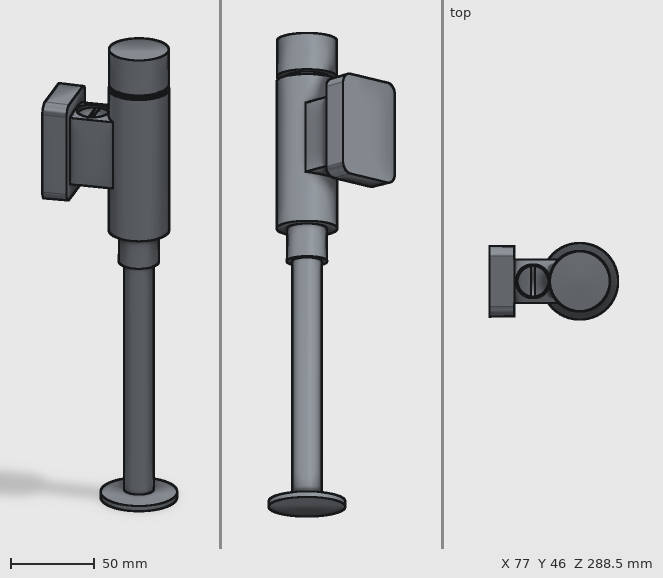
import cadquery as cq
import math

total_height = 288.5
rim_height = 3.5
flange_height = 5.2
sleeve_bottom = 151.8
barrel_bottom = 172.0
barrel_floor = 262.0
barrel_top = 263.0
neck_edge = 264.5
button_bottom = 265.8
button_edge = 288.3

flange_diameter = 46.0
pipe_diameter = 18.0
sleeve_bottom_diameter = 24.2
sleeve_top_diameter = 23.7
barrel_diameter = 36.5
neck_base_diameter = 26.5
neck_diameter = 25.5
barrel_bore = 33.2
button_bottom_diameter = 36.0
button_top_diameter = 35.8

outer_length = 77.0
mount_height = 223.7
plate_width = 42.5
plate_height = 61.8
plate_thickness = 15.0
plate_corner_radius = 6.0
plate_draft = 1.0
arm_width = 26.3
arm_edge_height = 42.7
arm_crown = 1.2

screw_offset = 28.0
recess_diameter = 20.2
screw_diameter = 18.5
recess_depth = 7.2
recess_cutter_height = 14.5
screw_height = 5.2
slot_width = 2.5
slot_cutter_radius = 29.0

plate_face_x = flange_diameter / 2 - outer_length
arm_start_x = plate_face_x + plate_thickness / 2
arm_top = mount_height + arm_edge_height / 2 + arm_crown
recess_floor = arm_top - recess_depth
screw_top = recess_floor + screw_height


def make_turned_column():
    """Flange, pipe, sleeve, barrel, neck and push button, turned about the Z axis."""
    outline = [
        (0, 0),
        (flange_diameter / 2, 0),
        (flange_diameter / 2, rim_height),
        (pipe_diameter / 2, flange_height),
        (pipe_diameter / 2, sleeve_bottom),
        (sleeve_bottom_diameter / 2, sleeve_bottom),
        (sleeve_top_diameter / 2, barrel_bottom),
        (barrel_diameter / 2, barrel_bottom),
        (barrel_diameter / 2, barrel_top),
        (barrel_bore / 2, barrel_top),
        (barrel_bore / 2, barrel_floor),
        (neck_base_diameter / 2, barrel_floor),
        (neck_base_diameter / 2, barrel_top),
        (neck_diameter / 2, neck_edge),
        (neck_diameter / 2, button_bottom),
        (button_bottom_diameter / 2, button_bottom),
        (button_top_diameter / 2, button_edge),
        (0, total_height),
    ]
    return cq.Workplane("XZ").polyline(outline).close().revolve(360, (0, 0), (0, 1))


def make_plate():
    """Rounded plate whose sides draw in slightly from the outer face to the back."""
    return (
        cq.Workplane("YZ", origin=(plate_face_x, 0, mount_height))
        .sketch()
        .rect(plate_width, plate_height)
        .vertices()
        .fillet(plate_corner_radius)
        .finalize()
        .extrude(plate_thickness, taper=plate_draft)
    )


def make_arm():
    """Block from inside the plate to the main axis, crowned across its top and bottom."""
    half_width = arm_width / 2
    half_edge = arm_edge_height / 2
    half_crown = half_edge + arm_crown
    return (
        cq.Workplane("YZ", origin=(arm_start_x, 0, mount_height))
        .moveTo(-half_width, -half_edge)
        .threePointArc((0, -half_crown), (half_width, -half_edge))
        .lineTo(half_width, half_edge)
        .threePointArc((0, half_crown), (-half_width, half_edge))
        .close()
        .extrude(-arm_start_x)
    )


def make_screw_recess():
    """Round cutter for the pocket in the arm, reaching well above the arm's top."""
    return (
        cq.Workplane("XY", origin=(-screw_offset, 0, recess_floor))
        .circle(recess_diameter / 2)
        .extrude(recess_cutter_height)
    )


def make_valve():
    """Valve body with its column, arm, plate and screw recess."""
    recessed_arm = make_arm().cut(make_screw_recess())
    return make_turned_column().union(recessed_arm).union(make_plate())


def make_screw():
    """Flat screw with a slot along Y whose floor is the arc of a round cutter."""
    screw_radius = screw_diameter / 2
    cutter_rise = math.sqrt(slot_cutter_radius**2 - screw_radius**2)
    blank = (
        cq.Workplane("XY", origin=(-screw_offset, 0, recess_floor))
        .circle(screw_radius)
        .extrude(screw_height)
    )
    cutter = (
        cq.Workplane("YZ", origin=(-screw_offset, 0, screw_top + cutter_rise))
        .circle(slot_cutter_radius)
        .extrude(slot_width / 2, both=True)
    )
    return blank.cut(cutter)


valve = make_valve()
screw = make_screw()
result = cq.Compound.makeCompound([valve.val(), screw.val()])